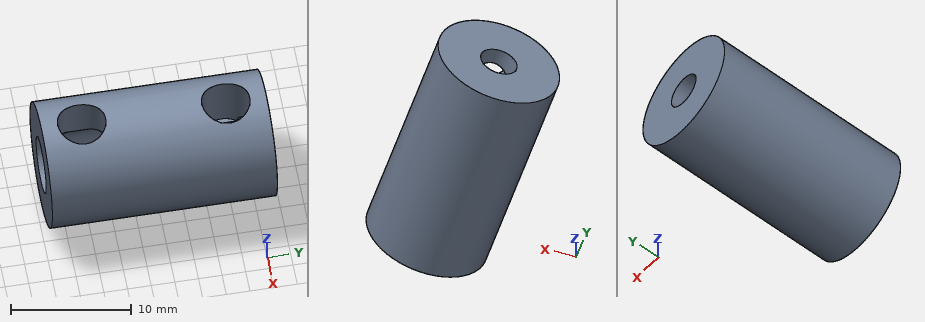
import cadquery as cq
import math

body_diameter = 10.67
body_length = 19.05

wide_bore_diameter = 4.8
narrow_bore_diameter = 3.2
wide_bore_depth = body_length / 2
drill_point_angle = 118.0

screw_hole_diameter = 4.04
screw_hole_end_distance = 3.43


def make_body():
    """Plain round bar along Y."""
    return (
        cq.Workplane("XZ")
        .circle(body_diameter / 2)
        .extrude(body_length / 2, both=True)
    )


def make_bore():
    """Stepped bore, with a drill-point cone between its two diameters."""
    wide_radius = wide_bore_diameter / 2
    narrow_radius = narrow_bore_diameter / 2
    front_y = -body_length / 2
    back_y = body_length / 2
    cone_start_y = front_y + wide_bore_depth
    cone_length = (wide_radius - narrow_radius) / math.tan(math.radians(drill_point_angle / 2))
    profile = [
        (0, front_y),
        (wide_radius, front_y),
        (wide_radius, cone_start_y),
        (narrow_radius, cone_start_y + cone_length),
        (narrow_radius, back_y),
        (0, back_y),
    ]
    return cq.Workplane("XY").polyline(profile).close().revolve(360, (0, 0), (0, 1))


def make_screw_hole(centre_y):
    """Cylinder running from the bore axis up through the top of the body."""
    return (
        cq.Workplane("XY")
        .center(0, centre_y)
        .circle(screw_hole_diameter / 2)
        .extrude(body_diameter / 2)
    )


result = make_body().cut(make_bore())
screw_hole_offset = body_length / 2 - screw_hole_end_distance
for side in (-1, 1):
    result = result.cut(make_screw_hole(side * screw_hole_offset))